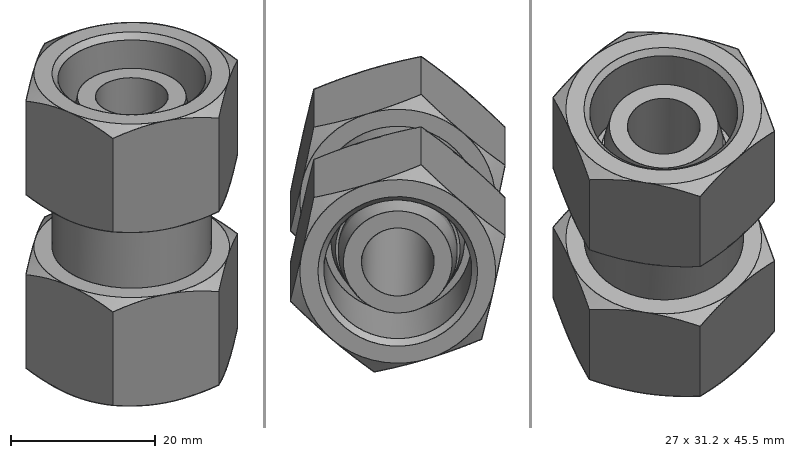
import cadquery as cq
import math

HEX_SIDES = 6

total_length = 45.5
nut_height = 17.5
across_flats = 27.0
nut_chamfer_angle = 30.0
neck_diameter = 22.0
through_bore_diameter = 10.0

thread_diameter = 22.0
thread_bore_diameter = 20.38

cone_tip_depth = 3.75
cone_tip_diameter = 15.0
cone_base_diameter = 18.4
cone_half_angle = 12.0

ledge_inner_diameter = 16.4
ledge_outer_diameter = 17.2

half_length = total_length / 2
across_corners = across_flats / math.cos(math.pi / HEX_SIDES)
corner_overhang = (across_corners - across_flats) / 2
corner_chamfer_height = corner_overhang * math.tan(math.radians(nut_chamfer_angle))
thread_chamfer = (thread_diameter - thread_bore_diameter) / 2
tip_z = half_length - cone_tip_depth


def cone_z(diameter):
    """Height on the upper sealing cone where it has the given diameter."""
    drop = (diameter - cone_tip_diameter) / 2 / math.tan(math.radians(cone_half_angle))
    return tip_z - drop


def revolve_profile(points):
    """Full turn about Z of a closed (radius, z) outline."""
    return cq.Workplane("XZ").polyline(points).close().revolve(360, (0, 0, 0), (0, 1, 0))


def make_nut():
    """Upper hexagon, corners along Y, with both ends chamfered conically."""
    nut_bottom = half_length - nut_height
    hexagon = (
        cq.Workplane("XY", origin=(0, 0, nut_bottom))
        .polygon(HEX_SIDES, across_corners)
        .extrude(nut_height)
        .rotate((0, 0, 0), (0, 0, 1), 90)
    )
    flat_radius = across_flats / 2
    corner_radius = across_corners / 2
    chamfer_envelope = revolve_profile([
        (0, nut_bottom),
        (flat_radius, nut_bottom),
        (corner_radius, nut_bottom + corner_chamfer_height),
        (corner_radius, half_length - corner_chamfer_height),
        (flat_radius, half_length),
        (0, half_length),
    ])
    return hexagon.intersect(chamfer_envelope)


def make_socket():
    """Space around the sealing cone: chamfered thread bore and ledged cone."""
    bore_radius = thread_bore_diameter / 2
    socket_floor = cone_z(cone_base_diameter)
    wall_top_z = cone_z(ledge_inner_diameter)
    ledge_z = cone_z(ledge_outer_diameter)
    return revolve_profile([
        (0, half_length),
        (thread_diameter / 2, half_length),
        (bore_radius, half_length - thread_chamfer),
        (bore_radius, socket_floor),
        (cone_base_diameter / 2, socket_floor),
        (ledge_outer_diameter / 2, ledge_z),
        (ledge_inner_diameter / 2, ledge_z),
        (ledge_inner_diameter / 2, wall_top_z),
        (cone_tip_diameter / 2, tip_z),
        (0, tip_z),
    ])


def make_neck():
    """Round body between the two nuts."""
    neck_length = total_length - 2 * nut_height
    return cq.Workplane("XY").circle(neck_diameter / 2).extrude(neck_length / 2, both=True)


def make_bore():
    """Straight bore through the whole fitting."""
    return cq.Workplane("XY").circle(through_bore_diameter / 2).extrude(half_length, both=True)


upper_end = make_nut().cut(make_socket())
lower_end = upper_end.mirror("XY")
result = make_neck().union(upper_end).union(lower_end).cut(make_bore())